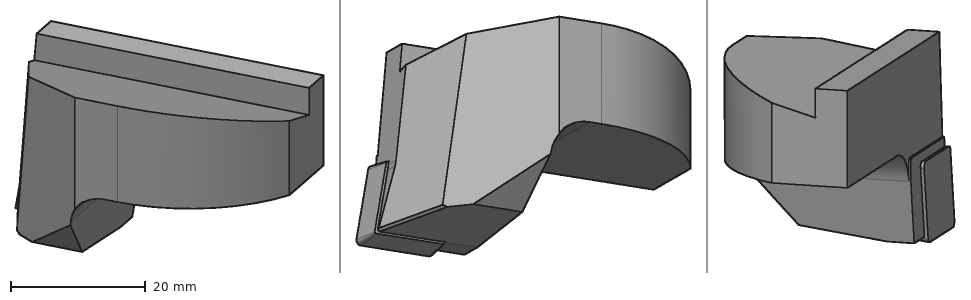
import cadquery as cq
import math

LENGTH = 49.5
PEAK_HEIGHT = 31.4
SHANK_UNDERSIDE = 15.7
HOLDER_BOTTOM = 0.95

PLATE_FRONT_Y = 20.0
PLATE_BACK_Y = 25.0
PLATE_TOP = 30.45
TOP_SLOPE = 15.0

ROUND_CENTER_X = 27.45
ROUND_RADIUS = PLATE_BACK_Y
FRONT_FLAT_LEFT_X = 20.45
FRONT_FACET_ANGLE = 35.0

LEFT_TOP_X = 4.6
LEFT_UPPER_LEAN = 0.092
LEFT_BEND_TOP = 11.7
LEFT_BEND_BOTTOM = 10.8
LEFT_BOTTOM_X = 1.05

LEG_RIGHT_BOTTOM_X = 17.85
LEG_RIGHT_ANGLE = 9.5
LEG_FILLET_RADIUS = 6.0

BOTTOM_FLAT_FRONT_Y = 21.15
BOTTOM_RELIEF_ANGLE = 7.0
NOSE_RELIEF_START_Y = 7.35
NOSE_RELIEF_ANGLE = 48.0

CORNER_X = 9.05
CORNER_Y = 7.95
CORNER_Z = 29.2
CORNER_PLAN_ANGLE = 65.5
CORNER_LEAN = 0.075
CORNER_CHAMFER = 0.4

PAD_BACK_Y = 25.3
PAD_RIGHT_X = 19.55
PAD_TOP = 14.2
PAD_RADIUS = 0.65

INSERT_BACK_Y = 25.9
INSERT_THICKNESS = 4.75
INSERT_INSCRIBED_DIAMETER = 12.7
INSERT_POINT_ANGLE = 80.0
INSERT_CLEARANCE = 7.0
INSERT_NOSE_RADIUS = 0.8

OVERSIZE = 99.0


def slope(angle):
    return math.tan(math.radians(angle))


def side_profile(back_y):
    """Left end, leg and shank outline in XZ, running from y = 0 to back_y."""
    left_peak_x = LEFT_TOP_X + LEFT_UPPER_LEAN * (PEAK_HEIGHT - PLATE_TOP)
    bend_top_x = LEFT_TOP_X - LEFT_UPPER_LEAN * (PLATE_TOP - LEFT_BEND_TOP)
    lower_lean = slope(90 - INSERT_POINT_ANGLE)
    bend_bottom_x = LEFT_BOTTOM_X + lower_lean * (LEFT_BEND_BOTTOM - HOLDER_BOTTOM)
    leg_top_x = LEG_RIGHT_BOTTOM_X + slope(LEG_RIGHT_ANGLE) * (SHANK_UNDERSIDE - HOLDER_BOTTOM)
    outline = [
        (LEFT_BOTTOM_X, HOLDER_BOTTOM),
        (LEG_RIGHT_BOTTOM_X, HOLDER_BOTTOM),
        (leg_top_x, SHANK_UNDERSIDE),
        (LENGTH, SHANK_UNDERSIDE),
        (LENGTH, PEAK_HEIGHT),
        (left_peak_x, PEAK_HEIGHT),
        (bend_top_x, LEFT_BEND_TOP),
        (bend_bottom_x, LEFT_BEND_BOTTOM),
    ]
    solid = cq.Workplane("XZ").polyline(outline).close().extrude(-back_y)
    inner_corner = cq.selectors.NearestToPointSelector((leg_top_x, back_y / 2, SHANK_UNDERSIDE))
    return solid.edges(inner_corner).fillet(LEG_FILLET_RADIUS)


def plan_block():
    """Plan outline with the flat front, angled facet and round right end."""
    end_angle = math.acos((LENGTH - ROUND_CENTER_X) / ROUND_RADIUS)
    mid_angle = (end_angle + math.pi / 2) / 2
    arc_mid = (
        ROUND_CENTER_X + ROUND_RADIUS * math.cos(mid_angle),
        PLATE_BACK_Y - ROUND_RADIUS * math.sin(mid_angle),
    )
    arc_end = (LENGTH, PLATE_BACK_Y - ROUND_RADIUS * math.sin(end_angle))
    facet_end_y = FRONT_FLAT_LEFT_X * slope(FRONT_FACET_ANGLE)
    return (
        cq.Workplane("XY")
        .moveTo(0, facet_end_y)
        .lineTo(FRONT_FLAT_LEFT_X, 0)
        .lineTo(ROUND_CENTER_X, 0)
        .threePointArc(arc_mid, arc_end)
        .lineTo(LENGTH, PLATE_BACK_Y)
        .lineTo(0, PLATE_BACK_Y)
        .close()
        .extrude(PEAK_HEIGHT)
    )


def end_block():
    """YZ outline with the plate, sloping top and relieved bottom."""
    top_root_z = PEAK_HEIGHT - PLATE_FRONT_Y * slope(TOP_SLOPE)
    relief_rise = (BOTTOM_FLAT_FRONT_Y - NOSE_RELIEF_START_Y) * slope(BOTTOM_RELIEF_ANGLE)
    nose_start_z = HOLDER_BOTTOM + relief_rise
    nose_end_z = nose_start_z + NOSE_RELIEF_START_Y * slope(NOSE_RELIEF_ANGLE)
    outline = [
        (PLATE_BACK_Y, HOLDER_BOTTOM),
        (PLATE_BACK_Y, PLATE_TOP),
        (PLATE_FRONT_Y, PLATE_TOP),
        (PLATE_FRONT_Y, top_root_z),
        (0, PEAK_HEIGHT),
        (0, nose_end_z),
        (NOSE_RELIEF_START_Y, nose_start_z),
        (BOTTOM_FLAT_FRONT_Y, HOLDER_BOTTOM),
    ]
    return cq.Workplane("YZ").polyline(outline).close().extrude(LENGTH)


def corner_cutter():
    """Block outside the oblique front left facet."""
    angle = math.radians(CORNER_PLAN_ANGLE)
    facet = cq.Plane(
        origin=(CORNER_X, CORNER_Y, CORNER_Z),
        xDir=(math.cos(angle), -math.sin(angle), 0),
        normal=(-math.sin(angle), -math.cos(angle), CORNER_LEAN * math.sin(angle)),
    )
    return cq.Workplane(facet).rect(OVERSIZE, OVERSIZE).extrude(OVERSIZE)


def raised_pad():
    """Thin step on the back face, bounded by the left end and the leg."""
    block = (
        cq.Workplane("XZ", origin=(0, PLATE_BACK_Y, 0))
        .rect(PAD_RIGHT_X, PAD_TOP, centered=False)
        .extrude(PLATE_BACK_Y - PAD_BACK_Y)
        .edges("|Y and >X and >Z")
        .fillet(PAD_RADIUS)
    )
    return block.intersect(side_profile(PAD_BACK_Y))


def make_insert():
    """Rhombus with rounded corners, tapering from its back face."""
    edge = INSERT_INSCRIBED_DIAMETER / math.sin(math.radians(INSERT_POINT_ANGLE))
    lean = INSERT_INSCRIBED_DIAMETER / slope(INSERT_POINT_ANGLE)
    half_angle = math.radians(INSERT_POINT_ANGLE / 2)
    point_x = INSERT_NOSE_RADIUS * (1 - 1 / math.tan(half_angle))
    outline = [
        (point_x, 0),
        (point_x + edge, 0),
        (point_x + edge + lean, INSERT_INSCRIBED_DIAMETER),
        (point_x + lean, INSERT_INSCRIBED_DIAMETER),
    ]
    rhombus = cq.Sketch().polygon(outline + outline[:1])
    rounded = rhombus.vertices().fillet(INSERT_NOSE_RADIUS)
    return (
        cq.Workplane("XZ", origin=(0, INSERT_BACK_Y, 0))
        .placeSketch(rounded)
        .extrude(INSERT_THICKNESS, taper=INSERT_CLEARANCE)
    )


def make_holder(insert):
    body = side_profile(PLATE_BACK_Y).intersect(plan_block()).intersect(end_block())
    body = body.cut(corner_cutter())
    edge_middle = ((LEFT_BOTTOM_X + CORNER_X) / 2, (BOTTOM_FLAT_FRONT_Y + CORNER_Y) / 2, HOLDER_BOTTOM)
    body = body.edges(cq.selectors.NearestToPointSelector(edge_middle)).chamfer(CORNER_CHAMFER)
    return body.union(raised_pad()).cut(insert)


insert = make_insert()
holder = make_holder(insert)

result = cq.Compound.makeCompound([holder.solids().val(), insert.val()])